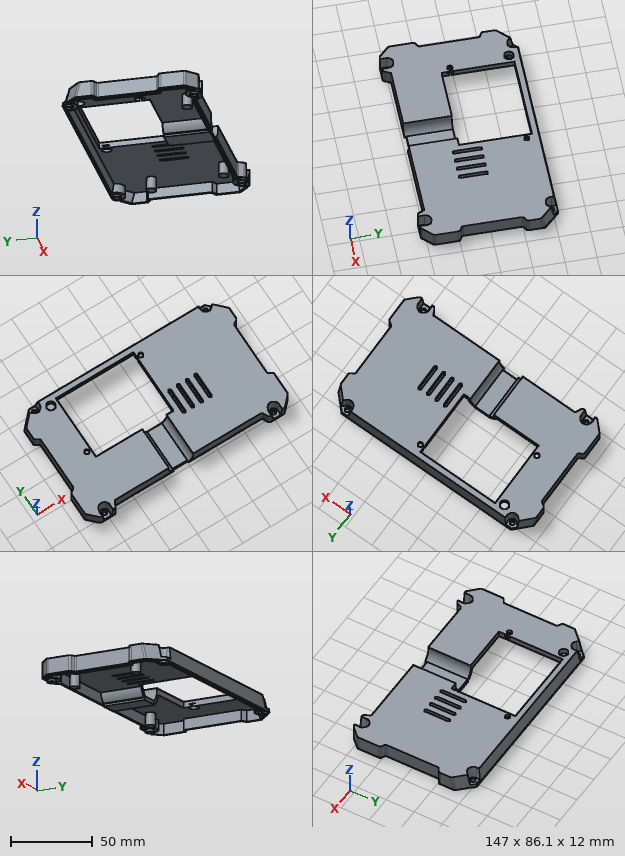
import cadquery as cq
import math

length = 147.0
depth = 86.1
total_height = 12.0
height = 10.0
plate_thickness = 4.0
wall = 2.0
back_lean = 1.8

half_length = length / 2
half_depth = depth / 2
back_corner_x = 63.8
back_chamfer_y = 33.0
front_chamfer_y = -36.2
front_corner_x = 66.7
tab_end_x = 55.5
tab_root_x = 53.4
front_y = -38.4
notch_depth = 3.4
notch_center_y = 0.9
notch_outer_half = 20.9
notch_inner_half = 19.0
convex_radius = 1.9
concave_radius = 1.2

lip_inset = 0.9
lip_height = 1.0

back_screw = (62.0, 39.4)
front_screw = (61.3, -39.2)
screw_diameter = 3.1
pocket_top_radius = 3.8
pocket_floor_radius = 2.6
pocket_floor_z = 2.0
pocket_wall = 1.5
post_drop = 1.5
post_radius = 2.8
back_lip_gap_radius = 5.0
front_lip_gap_radius = 6.2

support_diameter = 6.2
support_drop = total_height - height
supports = [(55.3, 16.0), (-48.4, -31.6), (46.3, -31.6)]

window_left, window_right = -47.6, 8.5
window_front, window_back = -8.1, 37.3
large_hole = (-52.9, 34.8)
large_hole_diameter = 5.9
small_holes = [(11.3, 33.5), (-50.5, -2.4)]
small_hole_diameter = 3.2
small_hole_recess_diameter = 6.0
small_hole_roof = 2.0

slot_count = 4
slot_width = 2.0
slot_length = 18.1
slot_pitch = 6.3
first_slot = (13.7, -3.8)

channel_x = -5.3
channel_radius = 9.0
channel_axis_z = height - 1.9
channel_floor_z = 0.9
channel_base_width = 12.3
channel_base_drop = 1.5
channel_base_setback = 1.3

OVERCUT = 7.4


def mirrored(points):
    """The points and their mirror images across X = 0."""
    return points + [(-x, y) for x, y in points]


right_convex = [
    (half_length, notch_center_y + notch_outer_half),
    (half_length, notch_center_y - notch_outer_half),
    (half_length, front_chamfer_y),
    (front_corner_x, -half_depth),
    (tab_end_x, -half_depth),
]
right_concave = [
    (half_length - notch_depth, notch_center_y + notch_inner_half),
    (half_length - notch_depth, notch_center_y - notch_inner_half),
    (tab_root_x, front_y),
]
back_edge_corner = (half_length, back_chamfer_y)


def outline(z, inset=0.0):
    """Outer outline at height z, moved inward by inset."""
    lean = back_lean * z / height
    right = [
        (back_corner_x - (math.sqrt(2) - 1) * lean, half_depth - lean),
        (half_length, back_chamfer_y - math.sqrt(2) * lean),
        right_convex[0],
        right_concave[0],
        right_concave[1],
        *right_convex[1:],
        right_concave[2],
    ]
    left = [(-x, y) for x, y in reversed(right)]
    wire = cq.Workplane("XY", origin=(0, 0, z)).polyline(right + left).close()
    if inset:
        wire = wire.offset2D(-inset, "intersection")
    return wire.val()


def between(lower, upper):
    """Solid with flat sides joining two outlines."""
    return cq.Workplane(cq.Solid.makeLoft([lower, upper], True))


def round_upright_edges(body, corners, radius, lean=0.0):
    """Fillet the upright edges that stand on the given corners."""
    for x, y in corners:
        middle = (x, y - lean / 2, height / 2)
        body = body.edges(cq.selectors.NearestToPointSelector(middle)).fillet(radius)
    return body


def make_block():
    block = between(outline(0), outline(height))
    block = round_upright_edges(block, mirrored(right_convex), convex_radius)
    block = round_upright_edges(block, mirrored(right_concave), concave_radius)
    corner_lean = math.sqrt(2) * back_lean
    return round_upright_edges(block, mirrored([back_edge_corner]), convex_radius, corner_lean)


def cylinder(center, radius, z_low, z_high):
    return cq.Workplane("XY", origin=(*center, z_low)).circle(radius).extrude(z_high - z_low)


def box(x_low, x_high, y_low, y_high, z_low, z_high):
    size = (x_high - x_low, y_high - y_low, z_high - z_low)
    return cq.Workplane("XY").box(*size, centered=False).translate((x_low, y_low, z_low))


def make_lip():
    lip = cq.Workplane(outline(0, lip_inset)).toPending().extrude(-lip_height)
    lip = lip.cut(cq.Workplane(outline(0, wall)).toPending().extrude(-lip_height))
    for center in mirrored([back_screw]):
        lip = lip.cut(cylinder(center, back_lip_gap_radius, -lip_height, 0))
    for center in mirrored([front_screw]):
        lip = lip.cut(cylinder(center, front_lip_gap_radius, -lip_height, 0))
    half = channel_base_width / 2
    return lip.cut(box(channel_x - half, channel_x + half, front_y, window_front, -lip_height, 0))


def pocket(center, angle):
    """Tapered screw pocket, round at the screw and open toward the angle (degrees)."""
    reach = 2 * pocket_top_radius + OVERCUT

    def section(radius, z):
        return (
            cq.Workplane("XY", origin=(0, 0, z))
            .moveTo(0, radius)
            .threePointArc((-radius, 0), (0, -radius))
            .lineTo(reach, -radius)
            .lineTo(reach, radius)
            .close()
            .val()
        )

    shape = between(section(pocket_floor_radius, pocket_floor_z), section(pocket_top_radius, height))
    return shape.rotate((0, 0, 0), (0, 0, 1), angle).translate((*center, 0))


def make_channel_trough():
    """Half pipe below the plate, with a flat base under it."""
    pipe = (
        cq.Workplane("XZ", origin=(channel_x, window_front, channel_axis_z))
        .circle(channel_radius + wall)
        .extrude(window_front - front_y - wall / 2)
    )
    pipe = pipe.intersect(box(-half_length, half_length, front_y, window_front, 0, height))
    half = channel_base_width / 2
    base_front = front_y + channel_base_setback
    base = box(
        channel_x - half,
        channel_x + half,
        base_front,
        window_front,
        -channel_base_drop,
        channel_floor_z,
    )
    return pipe.union(base)


def make_channel_cut():
    bore = (
        cq.Workplane("XZ", origin=(channel_x, window_front + OVERCUT, channel_axis_z))
        .circle(channel_radius)
        .extrude(window_front - front_y + 2 * OVERCUT)
    )
    bore = bore.intersect(
        box(-half_length, half_length, -half_depth, half_depth, channel_floor_z, height + channel_radius)
    )
    floor_half = math.sqrt(channel_radius**2 - (channel_axis_z - channel_floor_z) ** 2)
    front_gap = box(
        channel_x - floor_half,
        channel_x + floor_half,
        front_y - OVERCUT,
        front_y + channel_base_setback,
        -OVERCUT,
        channel_axis_z,
    )
    return bore.union(front_gap)


ceiling = height - plate_thickness
block = make_block()
cavity = between(outline(0, wall), outline(ceiling, wall))

fittings = make_channel_trough()
for screw in mirrored([back_screw, front_screw]):
    fittings = fittings.union(cylinder(screw, pocket_top_radius + pocket_wall, 0, height))
below = box(-half_length, half_length, -half_depth, half_depth, -OVERCUT, 0)
fittings = fittings.intersect(block.union(below))

result = block.cut(cavity).union(make_lip()).union(fittings)

for support in supports:
    result = result.union(cylinder(support, support_diameter / 2, -support_drop, height - wall))
for screw in mirrored([back_screw, front_screw]):
    result = result.union(cylinder(screw, post_radius, -post_drop, pocket_floor_z))

result = result.cut(make_channel_cut())
result = result.cut(
    box(window_left, window_right, window_front, window_back, ceiling - OVERCUT, height)
)
result = result.cut(cylinder(large_hole, large_hole_diameter / 2, -OVERCUT, height))
for hole in small_holes:
    result = result.cut(cylinder(hole, small_hole_diameter / 2, -OVERCUT, height))
    recess_radius = small_hole_recess_diameter / 2
    result = result.cut(cylinder(hole, recess_radius, -OVERCUT, height - small_hole_roof))
for index in range(slot_count):
    slot = (
        cq.Workplane("XY", origin=(first_slot[0] + index * slot_pitch, first_slot[1], 0))
        .slot2D(slot_length, slot_width, 90)
        .extrude(height)
    )
    result = result.cut(slot)

for screw in mirrored([back_screw]):
    chamfer_direction = 45 if screw[0] > 0 else 135
    result = result.cut(pocket(screw, 90)).cut(pocket(screw, chamfer_direction))
for screw in mirrored([front_screw]):
    result = result.cut(pocket(screw, -90))
for screw in mirrored([back_screw, front_screw]):
    result = result.cut(cylinder(screw, screw_diameter / 2, -OVERCUT, height))